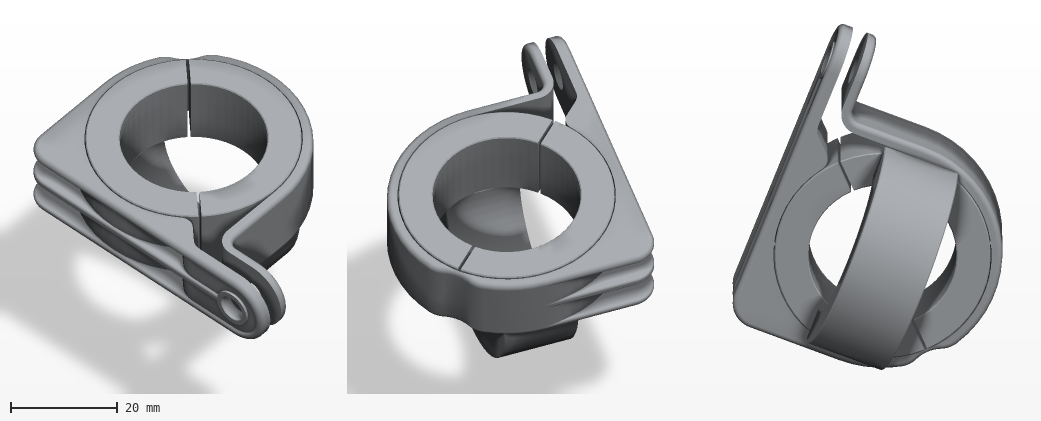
import cadquery as cq
import math

ring_outer_radius = 20.3
ring_inner_radius = 13.9
ring_width = 14.8
ring_chamfer = 0.2
split_half_gap = 0.3
ring_split_angle = -45

bore_radius = 20.5
wall = 2.0
clamp_height = 14.2
edge_round = 1.0
band_radius = bore_radius + wall

hinge_angle = 135
hinge_thickness = 0.6
hinge_hollow_radius = 7.0
hinge_shoulder_radius = 5.0

foot_tip_x = 37.5
foot_end_radius = clamp_height / 2
foot_end_x = foot_tip_x - foot_end_radius
upper_foot_bottom_y = -17.5
upper_foot_top_y = upper_foot_bottom_y + wall
upper_bend_radius = 2.0
lower_foot_back_y = -20.5
rib_lift = 0.5
base_y = lower_foot_back_y - wall - rib_lift
base_corner_radius = 5.0

rib_thickness = 1.6
rib_round = 0.5

bend_angle = -55
bend_crest_radius = 2.5
bend_foot_radius = 3.0
bend_slope = 45

hole_x = 30.0
hole_diameter = 5.4
boss_diameter = 7.4


def polar(radius, degrees):
    """Point at a distance and direction from the clamp axis."""
    angle = math.radians(degrees)
    return (radius * math.cos(angle), radius * math.sin(angle))


def shifted(point, radius, degrees):
    """Point on a circle around another point."""
    dx, dy = polar(radius, degrees)
    return (point[0] + dx, point[1] + dy)


def ring_half():
    """Half ring about Z, on the -Y side of its split plane."""
    ring = cq.Workplane("XY").circle(ring_outer_radius).circle(ring_inner_radius).extrude(ring_width / 2, both=True)
    ring = ring.faces("|Z").edges().chamfer(ring_chamfer)
    removed_depth = 2 * ring_outer_radius
    removed = cq.Workplane("XY").box(2 * removed_depth, removed_depth, 2 * ring_width)
    return ring.cut(removed.translate((0, removed_depth / 2 - split_half_gap, 0)))


ring_halves = []
for turn in (0, 180):
    ring_halves.append(ring_half().rotate((0, 0, 0), (0, 0, 1), ring_split_angle + turn))

cross_half_axis_z = split_half_gap - ring_width / 2
cross_half = ring_half().rotate((0, 0, 0), (1, 0, 0), 90).translate((0, 0, cross_half_axis_z))


def upper_band():
    """Upper half of the band, still filled inside, with its foot and rounded rims."""
    hollow_distance = bore_radius + hinge_thickness + hinge_hollow_radius
    shoulder_distance = band_radius - hinge_shoulder_radius
    centre_span = hinge_hollow_radius + hinge_shoulder_radius
    shoulder_cosine = (hollow_distance**2 + shoulder_distance**2 - centre_span**2) / (
        2 * hollow_distance * shoulder_distance
    )
    shoulder_offset = math.degrees(math.acos(shoulder_cosine))
    hollow_sine = shoulder_distance * math.sin(math.radians(shoulder_offset)) / centre_span
    hollow_offset = math.degrees(math.asin(hollow_sine))
    hollow_centre = polar(hollow_distance, hinge_angle)
    inward = hinge_angle + 180

    def shoulder_mid(side):
        centre = polar(shoulder_distance, hinge_angle + side * shoulder_offset)
        direction = hinge_angle + side * (shoulder_offset - hollow_offset) / 2
        return shifted(centre, hinge_shoulder_radius, direction)

    left_start = hinge_angle + shoulder_offset
    right_start = hinge_angle - shoulder_offset
    outer_bend = upper_bend_radius + wall
    bend_centre = (band_radius + upper_bend_radius, upper_foot_top_y + upper_bend_radius)
    band = (
        cq.Workplane("XY")
        .workplane(offset=-clamp_height / 2)
        .moveTo(-band_radius, 0)
        .threePointArc(polar(band_radius, (180 + left_start) / 2), polar(band_radius, left_start))
        .threePointArc(shoulder_mid(1), shifted(hollow_centre, hinge_hollow_radius, inward - hollow_offset))
        .threePointArc(
            shifted(hollow_centre, hinge_hollow_radius, inward),
            shifted(hollow_centre, hinge_hollow_radius, inward + hollow_offset),
        )
        .threePointArc(shoulder_mid(-1), polar(band_radius, right_start))
        .threePointArc(polar(band_radius, right_start / 2), (band_radius, 0))
        .lineTo(band_radius, bend_centre[1])
        .threePointArc(shifted(bend_centre, upper_bend_radius, 225), (bend_centre[0], upper_foot_top_y))
        .lineTo(foot_tip_x, upper_foot_top_y)
        .lineTo(foot_tip_x, upper_foot_bottom_y)
        .lineTo(bend_centre[0], upper_foot_bottom_y)
        .threePointArc(shifted(bend_centre, outer_bend, 225), (bore_radius, bend_centre[1]))
        .lineTo(bore_radius, 0)
        .close()
        .extrude(clamp_height)
    )
    outline = (
        cq.Workplane("XZ")
        .moveTo(-band_radius, -clamp_height / 2)
        .lineTo(foot_end_x, -clamp_height / 2)
        .threePointArc((foot_tip_x, 0), (foot_end_x, clamp_height / 2))
        .lineTo(-band_radius, clamp_height / 2)
        .close()
        .extrude(2 * band_radius, both=True)
    )
    foot_end_arc = cq.selectors.NearestToPointSelector((foot_tip_x, upper_foot_top_y, 0))
    return band.intersect(outline).edges(foot_end_arc).fillet(edge_round)


crest_centre = polar(bore_radius + bend_crest_radius, bend_angle)
slope_normal = 90 - bend_slope
foot_bend_y = lower_foot_back_y + bend_foot_radius
slope_sine = math.sin(math.radians(slope_normal))
slope_cosine = math.cos(math.radians(slope_normal))
bend_drop = (foot_bend_y - crest_centre[1]) * slope_sine
foot_bend_x = crest_centre[0] + (bend_crest_radius + bend_foot_radius - bend_drop) / slope_cosine
foot_bend_centre = (foot_bend_x, foot_bend_y)


def follow_s_bend(path, depth):
    """Continue a path from the foot end to the band, at a depth below the wall's bore side."""
    foot_radius = bend_foot_radius + depth
    crest_radius = bend_crest_radius - depth
    crest_start = bend_angle + 180
    return (
        path.lineTo(foot_bend_x, lower_foot_back_y - depth)
        .threePointArc(
            shifted(foot_bend_centre, foot_radius, (270 + slope_normal + 180) / 2),
            shifted(foot_bend_centre, foot_radius, slope_normal + 180),
        )
        .lineTo(*shifted(crest_centre, crest_radius, slope_normal))
        .threePointArc(
            shifted(crest_centre, crest_radius, (slope_normal + crest_start) / 2),
            shifted(crest_centre, crest_radius, crest_start),
        )
    )


def lower_wall():
    """Wall of even thickness from the band to the lower foot, filled inside the bore."""
    half_height = clamp_height / 2 - edge_round
    path = (
        cq.Workplane("XY")
        .workplane(offset=-half_height)
        .moveTo(foot_end_x, lower_foot_back_y - wall)
    )
    path = follow_s_bend(path, wall)
    path = path.threePointArc(polar(band_radius, (bend_angle - 180) / 2), (-band_radius, 0))
    path = path.lineTo(0, 0).lineTo(*polar(bore_radius, bend_angle))
    crest_start = bend_angle + 180
    path = (
        path.threePointArc(
            shifted(crest_centre, bend_crest_radius, (slope_normal + crest_start) / 2),
            shifted(crest_centre, bend_crest_radius, slope_normal),
        )
        .lineTo(*shifted(foot_bend_centre, bend_foot_radius, slope_normal + 180))
        .threePointArc(
            shifted(foot_bend_centre, bend_foot_radius, (270 + slope_normal + 180) / 2),
            (foot_bend_x, lower_foot_back_y),
        )
        .lineTo(foot_end_x, lower_foot_back_y)
    )
    return path.close().extrude(2 * half_height)


def rib(bottom_z, bottom_round, top_round):
    """Flat rib that squares off the lower half, with its outer edges rounded."""
    path = (
        cq.Workplane("XY")
        .workplane(offset=bottom_z)
        .moveTo(-band_radius, 0)
        .lineTo(-band_radius, base_y + base_corner_radius)
        .radiusArc((-band_radius + base_corner_radius, base_y), -base_corner_radius)
        .lineTo(foot_end_x, base_y)
        .lineTo(foot_end_x, lower_foot_back_y)
    )
    path = follow_s_bend(path, 0)
    plate = path.lineTo(0, 0).close().extrude(rib_thickness)
    base_middle_x = (foot_end_x - band_radius + base_corner_radius) / 2
    for edge_z, radius in ((bottom_z, bottom_round), (bottom_z + rib_thickness, top_round)):
        base_edge = cq.selectors.NearestToPointSelector((base_middle_x, base_y, edge_z))
        plate = plate.edges(base_edge).fillet(radius)
    return plate


def foot_cylinder(x, radius, front_y):
    """Round pad on the lower foot, from its back face to front_y."""
    pad = cq.Workplane("XZ", origin=(x, lower_foot_back_y, 0))
    return pad.circle(radius).extrude(lower_foot_back_y - front_y)


def foot_rim():
    """Raised half-round rim at the end of the lower foot, with the section of the outer ribs."""
    section = (
        cq.Workplane("XY", origin=(foot_end_x, 0, 0))
        .moveTo(foot_end_radius, lower_foot_back_y)
        .lineTo(foot_end_radius, base_y + edge_round)
        .radiusArc((foot_end_radius - edge_round, base_y), edge_round)
        .lineTo(foot_end_radius - rib_thickness + rib_round, base_y)
        .radiusArc((foot_end_radius - rib_thickness, base_y + rib_round), rib_round)
        .lineTo(foot_end_radius - rib_thickness, lower_foot_back_y)
        .close()
    )
    rim = section.revolve(180, (0, 0, 0), (0, 1, 0))
    return rim.rotate((foot_end_x, 0, 0), (foot_end_x, 1, 0), -90)


clamp_pieces = [
    lower_wall(),
    rib(-clamp_height / 2, edge_round, rib_round),
    rib(-rib_thickness / 2, rib_round, rib_round),
    rib(clamp_height / 2 - rib_thickness, rib_round, edge_round),
    foot_cylinder(foot_end_x, foot_end_radius - edge_round, lower_foot_back_y - wall),
    foot_rim(),
    foot_cylinder(hole_x, boss_diameter / 2, base_y),
]
clamp = upper_band()
for piece in clamp_pieces:
    clamp = clamp.union(piece, clean=False)
clamp = clamp.cut(cq.Workplane("XY").circle(bore_radius).extrude(clamp_height, both=True))
clamp = clamp.cut(cq.Workplane("XZ").center(hole_x, 0).circle(hole_diameter / 2).extrude(-2 * base_y))

result = cq.Compound.makeCompound([clamp.val(), *[half.val() for half in ring_halves], cross_half.val()])